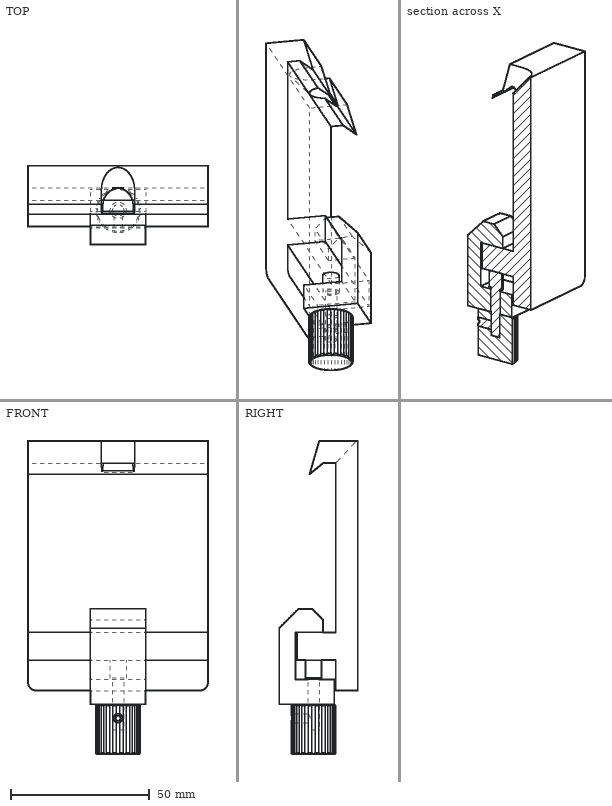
import cadquery as cq
import math


plate_width = 65.0
plate_thickness = 8.0
plate_height = 90.1
plate_corner_radius = 3.0
hook_thickness = 8.0
hook_top_depth = 14.0
hook_bend_depth = 12.5
hook_tip_depth = 17.5
hook_tip_drop = 12.1
rail_bottom = 11.0
rail_height = 10.1
rail_depth = 22.0
rail_top = rail_bottom + rail_height

notch_radius = 6.0
notch_tilt = 47
notch_back_depth = 0.7
notch_length = 19.1

clamp_width = 20.0
clamp_back_depth = 8.5
clamp_front_depth = 28.5
clamp_wall = 6.0
clamp_bottom = -5.0
clamp_height = 34.5
clamp_base_height = 9.0
clamp_lip_depth = hook_bend_depth
clamp_back_chamfer = 4.0
clamp_front_chamfer = 7.0
clamp_top = clamp_bottom + clamp_height

screw_depth = 16.0
pad_radius = 2.9
pad_length = 6.3
shank_radius = 2.0
shank_length_in_knob = 9.0
shank_bottom = clamp_bottom - shank_length_in_knob

knob_radius = 8.0
knob_height = 18.0
knob_chamfer = 0.51
groove_count = 20
groove_radius = 0.8
groove_width = 1.2

set_screw_radius = 1.6
set_screw_drop = 5.0
set_screw_reach = 7.9
dimple_radius = 0.9
set_screw_height = clamp_bottom - set_screw_drop


def side_profile(points, width):
    """Extrude a (depth, height) outline across X, centred on X = 0."""
    outline = cq.Workplane("YZ").polyline([(-depth, height) for depth, height in points]).close()
    return outline.extrude(width / 2, both=True)


def upright_cylinder(radius, bottom, top):
    """Cylinder on the screw's vertical axis."""
    base = cq.Workplane("XY", origin=(0, -screw_depth, bottom))
    return base.circle(radius).extrude(top - bottom)


def make_notch():
    """U-shaped groove that slopes down to the front, its lowest line starting on the plate's top face."""
    tilt = math.radians(notch_tilt)
    slope_plane = cq.Plane(
        origin=(0, -notch_back_depth, plate_height),
        xDir=(1, 0, 0),
        normal=(0, -math.cos(tilt), -math.sin(tilt)),
    )
    wall_top = 3 * notch_radius
    start_above_plate = 3 * notch_radius
    return (
        cq.Workplane(slope_plane)
        .workplane(offset=-start_above_plate)
        .moveTo(-notch_radius, wall_top)
        .lineTo(-notch_radius, notch_radius)
        .threePointArc((0, 0), (notch_radius, notch_radius))
        .lineTo(notch_radius, wall_top)
        .close()
        .extrude(start_above_plate + notch_length)
    )


def make_plate():
    outline = [
        (0, 0),
        (0, plate_height),
        (hook_top_depth, plate_height),
        (hook_tip_depth, plate_height - hook_tip_drop),
        (hook_bend_depth, plate_height - hook_thickness),
        (plate_thickness, plate_height - hook_thickness),
        (plate_thickness, rail_top),
        (rail_depth, rail_top),
        (rail_depth, rail_bottom),
        (plate_thickness, rail_bottom),
        (plate_thickness, 0),
    ]
    plate = side_profile(outline, plate_width)
    plate = plate.faces("<Z").edges("|Y").fillet(plate_corner_radius)
    return plate.cut(make_notch())


def make_clamp():
    opening_front = clamp_front_depth - clamp_wall
    base_top = clamp_bottom + clamp_base_height
    outline = [
        (clamp_back_depth, clamp_bottom),
        (clamp_front_depth, clamp_bottom),
        (clamp_front_depth, clamp_top - clamp_front_chamfer),
        (clamp_front_depth - clamp_front_chamfer, clamp_top),
        (clamp_lip_depth + clamp_back_chamfer, clamp_top),
        (clamp_lip_depth, clamp_top - clamp_back_chamfer),
        (clamp_lip_depth, rail_top),
        (opening_front, rail_top),
        (opening_front, base_top),
        (clamp_back_depth, base_top),
    ]
    clamp = side_profile(outline, clamp_width)
    return clamp.cut(upright_cylinder(shank_radius, clamp_bottom, base_top))


def make_screw():
    """Shank through the clamp with a wider pad that presses on the rail."""
    pad_bottom = rail_bottom - pad_length
    pad = upright_cylinder(pad_radius, pad_bottom, rail_bottom)
    return pad.union(upright_cylinder(shank_radius, shank_bottom, pad_bottom))


def set_screw_cylinder(reach):
    """Cylinder from the knob's axis forwards by the given reach."""
    base = cq.Workplane("XZ", origin=(0, -screw_depth, set_screw_height))
    return base.circle(set_screw_radius).extrude(reach)


def make_set_screw():
    """Headless screw that rests on the round shank, with a 90 degree dimple in its outer end."""
    shaft = set_screw_cylinder(set_screw_reach).cut(make_screw())
    dimple_mouth = cq.Vector(0, -screw_depth - set_screw_reach, set_screw_height)
    dimple = cq.Solid.makeCone(dimple_radius, 0, dimple_radius, dimple_mouth, cq.Vector(0, 1, 0))
    return shaft.cut(cq.Workplane(dimple))


def make_knob():
    """Chamfered cylinder with round knurling grooves, a bore for the shank and a set screw hole."""
    knob_bottom = clamp_bottom - knob_height
    knob = upright_cylinder(knob_radius, knob_bottom, clamp_bottom)
    knob = knob.faces("<Z or >Z").chamfer(knob_chamfer)

    half_width = groove_width / 2
    groove_edge = math.sqrt(knob_radius**2 - half_width**2)
    groove_distance = groove_edge + math.sqrt(groove_radius**2 - half_width**2)
    grooves = (
        cq.Workplane("XY", origin=(0, -screw_depth, knob_bottom))
        .polarArray(groove_distance, 0, 360, groove_count)
        .circle(groove_radius)
        .extrude(knob_height)
    )
    knob = knob.cut(grooves)
    knob = knob.cut(upright_cylinder(shank_radius, shank_bottom, clamp_bottom))
    return knob.cut(set_screw_cylinder(knob_radius))


plate = make_plate()
clamp = make_clamp()
screw = make_screw()
knob = make_knob()
set_screw = make_set_screw()

result = cq.Compound.makeCompound([plate.val(), clamp.val(), screw.val(), knob.val(), set_screw.val()])